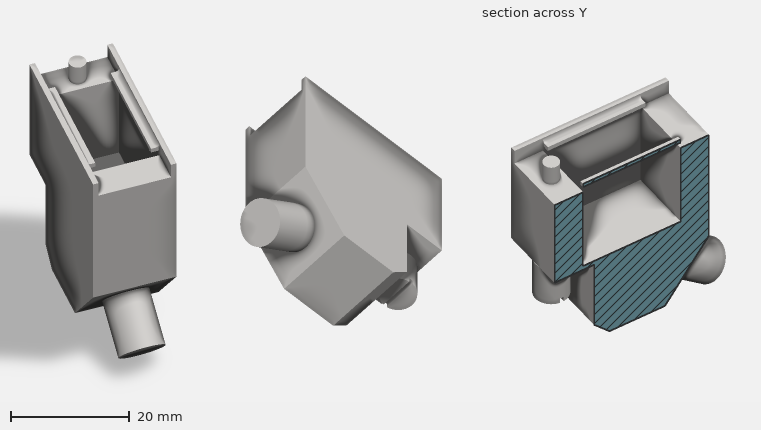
import cadquery as cq
import math

body_length = 31.25
body_width = 15.0
body_height = 38.0
step_length = 8.0
step_depth = 21.0
corner_chamfer = 3.1
slope_start_depth = 26.4
slope_angle = 52.5

wall = 1.0
recess_depth = 2.9
end_block_length = 5.75
pocket_depth = 20.0
pocket_length = body_length - 2 * end_block_length
inner_width = body_width - 2 * wall

rail_reach = 1.5
rail_top_depth = 0.95
rail_bottom_depth = 1.8
rail_fillet = 0.7

screw_x = 3.125
pin_diameter = 3.0
pin_rise = 1.0
head_diameter = 6.5
head_length = 8.0
slot_width = 0.8
slot_depth = 1.0

outlet_diameter = 8.3
outlet_length = 10.0

slope_run = (body_height - slope_start_depth) / math.tan(math.radians(slope_angle))


def make_body():
    return (
        cq.Workplane("XZ")
        .moveTo(0, 0)
        .lineTo(body_length, 0)
        .lineTo(body_length, -slope_start_depth)
        .lineTo(body_length - slope_run, -body_height)
        .lineTo(step_length + corner_chamfer, -body_height)
        .lineTo(step_length, -body_height + corner_chamfer)
        .lineTo(step_length, -step_depth)
        .lineTo(0, -step_depth)
        .close()
        .extrude(body_width / 2, both=True)
    )


def box_below_rim(start_x, length, depth):
    """Block of the inner width reaching down from the rim."""
    return cq.Workplane("XY").box(
        length, inner_width, depth, centered=(False, True, False)
    ).translate((start_x, 0, -depth))


def make_rail(side):
    """Rail on one wall (side = +1 or -1), blended into the wall by a concave arc."""
    wall_y = side * inner_width / 2
    tip_y = wall_y - side * rail_reach
    fillet_y = wall_y - side * rail_fillet
    fillet_top = -rail_top_depth + rail_fillet
    arc_offset = rail_fillet * (1 - math.sqrt(0.5))
    return (
        cq.Workplane("YZ", origin=(end_block_length, 0, 0))
        .moveTo(wall_y, -rail_bottom_depth)
        .lineTo(tip_y, -rail_bottom_depth)
        .lineTo(tip_y, -rail_top_depth)
        .lineTo(fillet_y, -rail_top_depth)
        .threePointArc(
            (wall_y - side * arc_offset, -rail_top_depth + arc_offset),
            (wall_y, fillet_top),
        )
        .close()
        .extrude(pocket_length)
    )


def make_pin():
    return (
        cq.Workplane("XY", origin=(screw_x, 0, -recess_depth))
        .circle(pin_diameter / 2)
        .extrude(recess_depth + pin_rise)
    )


def make_screw_head():
    head_bottom = -step_depth - head_length
    head = (
        cq.Workplane("XY", origin=(screw_x, 0, head_bottom))
        .circle(head_diameter / 2)
        .extrude(head_length)
    )
    slot = cq.Workplane("XY", origin=(screw_x, 0, head_bottom)).box(
        slot_width, head_diameter, slot_depth, centered=(True, True, False)
    )
    return head.cut(slot)


def make_cable_outlet():
    angle = math.radians(slope_angle)
    centre_x = body_length - slope_run / 2
    centre_z = -(slope_start_depth + body_height) / 2
    slope_plane = cq.Plane(
        origin=(centre_x, 0, centre_z),
        xDir=(0, 1, 0),
        normal=(math.sin(angle), 0, -math.cos(angle)),
    )
    return cq.Workplane(slope_plane).circle(outlet_diameter / 2).extrude(outlet_length)


result = make_body()
result = result.cut(box_below_rim(0, body_length, recess_depth))
result = result.cut(box_below_rim(end_block_length, pocket_length, pocket_depth))
for wall_side in (-1, 1):
    result = result.union(make_rail(wall_side))
result = result.union(make_pin())
result = result.union(make_screw_head())
result = result.union(make_cable_outlet())